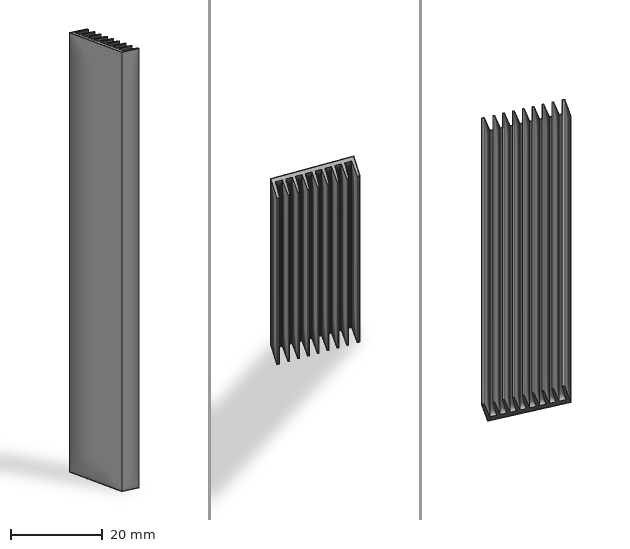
import cadquery as cq

length = 100.0
width = 18.9
height = 4.8

base_thickness = 1.0

inner_fin_count = 7
inner_fin_span = 13.4
fin_pitch = inner_fin_span / (inner_fin_count - 1)
fin_tip = 0.4
fin_root = 0.8
tip_radius = 0.15

edge_fin_root = 0.8
edge_fin_tip = edge_fin_root - (fin_root - fin_tip) / 2

back_y = -height / 2
fin_root_y = back_y + base_thickness
fin_tip_y = height / 2


def extrude_outline(points):
    """Extrude a closed XY outline over the full length of the part."""
    return cq.Workplane("XY").polyline(points).close().extrude(length)


def inner_fin(centre_x):
    """Symmetric tapered fin with rounded tip corners."""
    fin = extrude_outline([
        (centre_x - fin_root / 2, fin_root_y),
        (centre_x + fin_root / 2, fin_root_y),
        (centre_x + fin_tip / 2, fin_tip_y),
        (centre_x - fin_tip / 2, fin_tip_y),
    ])
    return fin.faces(">Y").edges("|Z").fillet(tip_radius)


def edge_fin(side):
    """Fin flush with one edge of the base; side is -1 or 1 along X, tip corners rounded."""
    outer_x = side * width / 2
    fin = extrude_outline([
        (outer_x, fin_root_y),
        (outer_x - side * edge_fin_root, fin_root_y),
        (outer_x - side * edge_fin_tip, fin_tip_y),
        (outer_x, fin_tip_y),
    ])
    return fin.faces(">Y").edges("|Z").fillet(tip_radius)


base = extrude_outline([
    (-width / 2, back_y),
    (width / 2, back_y),
    (width / 2, fin_root_y),
    (-width / 2, fin_root_y),
])

result = base.union(edge_fin(-1)).union(edge_fin(1))
for index in range(inner_fin_count):
    offset = index - (inner_fin_count - 1) / 2
    result = result.union(inner_fin(offset * fin_pitch))